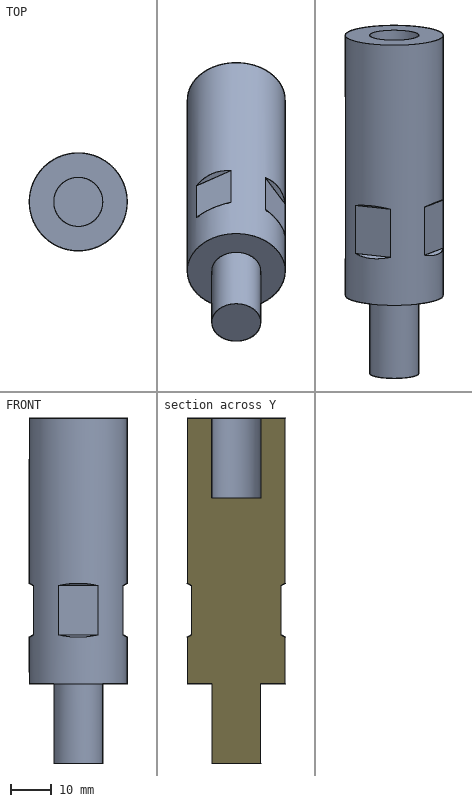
import cadquery as cq

total_length = 84.5
body_diameter = 24.0
stud_diameter = body_diameter / 2
stud_length = 19.5
bore_diameter = stud_diameter
bore_depth = 19.5

across_flats = 22.0
flat_bottom = 31.5
flat_top = 43.5
end_slope_rise = 0.6

body_radius = body_diameter / 2


def make_body():
    """Cylindrical body on a thinner stud, standing on Z = 0."""
    stud = cq.Workplane("XY").circle(stud_diameter / 2).extrude(stud_length)
    body = (
        cq.Workplane("XY")
        .workplane(offset=stud_length)
        .circle(body_radius)
        .extrude(total_length - stud_length)
    )
    return stud.union(body)


def make_bore():
    """Blind bore entering from the top face."""
    return (
        cq.Workplane("XY")
        .workplane(offset=total_length - bore_depth)
        .circle(bore_diameter / 2)
        .extrude(bore_depth)
    )


def make_flat_cutter():
    """Trapezoidal prism on the +X side that widens outwards to form the sloped ends."""
    return (
        cq.Workplane("XZ")
        .moveTo(across_flats / 2, flat_bottom)
        .lineTo(body_radius, flat_bottom - end_slope_rise)
        .lineTo(body_radius, flat_top + end_slope_rise)
        .lineTo(across_flats / 2, flat_top)
        .close()
        .extrude(body_radius, both=True)
    )


result = make_body().cut(make_bore())
for angle in (0, 90, 180, 270):
    cutter = make_flat_cutter().rotate((0, 0, 0), (0, 0, 1), angle)
    result = result.cut(cutter)